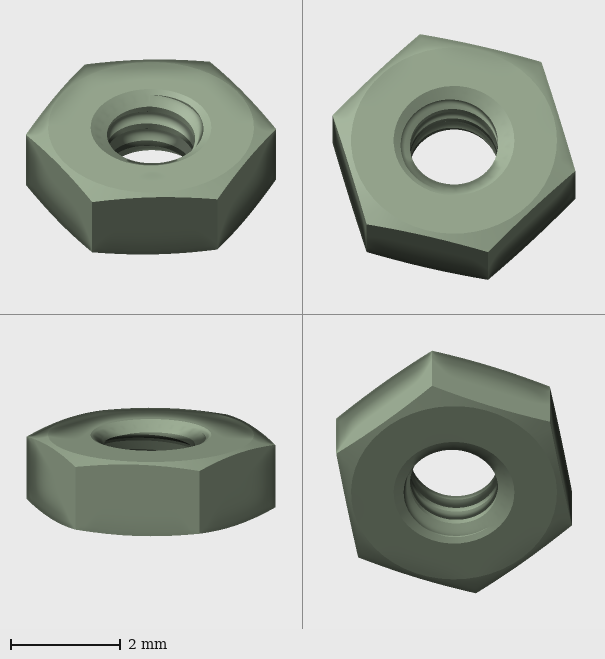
import cadquery as cq
import math

across_corners = 4.56
thickness = 1.4
corner_radius = across_corners / 2
face_radius = 1.875
corner_chamfer_angle = math.radians(15)
corner_drop = (corner_radius - face_radius) * math.tan(corner_chamfer_angle)

minor_radius = 0.803
countersink_radius = 1.1
countersink_slope = math.radians(30)
countersink_depth = (countersink_radius - minor_radius) * math.tan(countersink_slope)

pitch = thickness / 3.5
major_radius = 1.0
flank_angle = math.radians(30)
root_flat = pitch / 8
bore_overlap = 0.025
start_height = -0.03
start_angle = -30.0


def make_body():
    """Hexagon whose corners are turned down to a cone on both faces."""
    hexagon = cq.Workplane("XY").polygon(6, across_corners).extrude(thickness)
    turned_blank = (
        cq.Workplane("XZ")
        .moveTo(0, 0)
        .lineTo(face_radius, 0)
        .lineTo(corner_radius, corner_drop)
        .lineTo(corner_radius, thickness - corner_drop)
        .lineTo(face_radius, thickness)
        .lineTo(0, thickness)
        .close()
        .revolve(360, (0, 0), (0, 1))
    )
    return hexagon.intersect(turned_blank)


def make_bore():
    """Through bore that widens to a cone at each face."""
    return (
        cq.Workplane("XZ")
        .moveTo(0, 0)
        .lineTo(countersink_radius, 0)
        .lineTo(minor_radius, countersink_depth)
        .lineTo(minor_radius, thickness - countersink_depth)
        .lineTo(countersink_radius, thickness)
        .lineTo(0, thickness)
        .close()
        .revolve(360, (0, 0), (0, 1))
    )


def make_thread_groove():
    """Trapezoid swept along a helix as long as the nut is thick."""
    inner_radius = minor_radius - bore_overlap
    root_half = root_flat / 2
    mouth_half = root_half + (major_radius - inner_radius) * math.tan(flank_angle)
    helix = cq.Wire.makeHelix(pitch, thickness, minor_radius)
    groove = (
        cq.Workplane("XZ")
        .moveTo(inner_radius, -mouth_half)
        .lineTo(major_radius, -root_half)
        .lineTo(major_radius, root_half)
        .lineTo(inner_radius, mouth_half)
        .close()
        .sweep(cq.Workplane(helix), isFrenet=True)
    )
    return groove.rotate((0, 0, 0), (0, 0, 1), start_angle).translate((0, 0, start_height))


result = make_body().cut(make_bore()).cut(make_thread_groove())